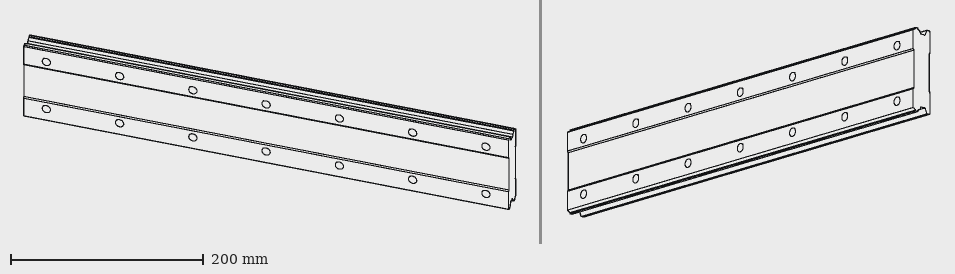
import cadquery as cq

length = 530.0
depth = 24.0
height = 90.0
half_depth = depth / 2
half_height = height / 2

recess_depth = 1.0
recess_half_height = 20.0
recess_slope_height = 1.5

back_edge_z = 42.0
rib_back_y = 8.5
rib_front_y = 5.5
rib_foot_z = 44.0
groove_back_y = 2.0
groove_back_z = 42.0
groove_floor_back_y = 1.0
groove_floor_z = 39.0
groove_floor_front_y = -5.0
lip_inner_y = -7.5
lip_chamfer = 1.0

hole_diameter = 9.0
hole_pitch = 80.0
holes_per_row = 7
hole_row_spacing = 60.0


def upper_half_outline():
    """(Y, Z) points of the upper half section, from the back recess to the front recess."""
    return [
        (half_depth - recess_depth, recess_half_height),
        (half_depth, recess_half_height + recess_slope_height),
        (half_depth, back_edge_z),
        (rib_back_y, rib_foot_z),
        (rib_back_y, half_height),
        (rib_front_y, half_height),
        (rib_front_y, rib_foot_z),
        (groove_back_y, groove_back_z),
        (groove_floor_back_y, groove_floor_z),
        (groove_floor_front_y, groove_floor_z),
        (lip_inner_y, half_height),
        (-half_depth + lip_chamfer, half_height),
        (-half_depth, half_height - lip_chamfer),
        (-half_depth, recess_half_height + recess_slope_height),
        (-half_depth + recess_depth, recess_half_height),
    ]


upper = upper_half_outline()
lower = [(y, -z) for y, z in reversed(upper)]
rail = (
    cq.Workplane("YZ")
    .polyline(upper + lower)
    .close()
    .extrude(length / 2, both=True)
)

first_hole_x = -hole_pitch * (holes_per_row - 1) / 2
hole_centers = [
    (first_hole_x + i * hole_pitch, z)
    for z in (-hole_row_spacing / 2, hole_row_spacing / 2)
    for i in range(holes_per_row)
]
holes = (
    cq.Workplane("XZ")
    .pushPoints(hole_centers)
    .circle(hole_diameter / 2)
    .extrude(depth, both=True)
)

result = rail.cut(holes)